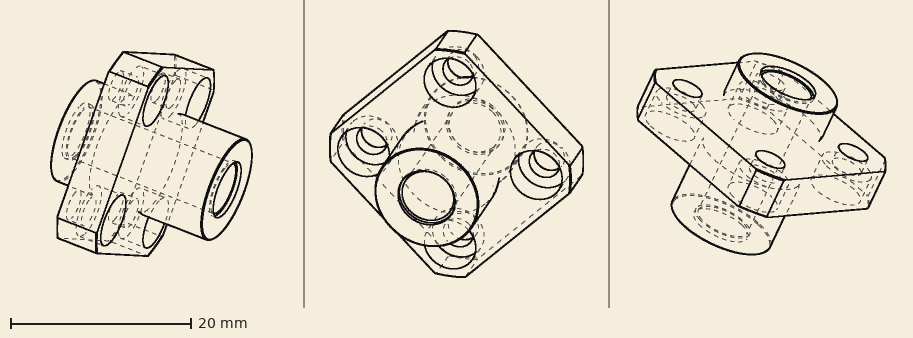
import cadquery as cq
import math

overall_length = 19.0
hub_radius = 12.0 / 2
hub_end_chamfer = 0.1
bore_radius = 6.0 / 2
recess_radius = 6.6 / 2
recess_depth = 0.5

flange_thickness = 5.0
flange_offset = 5.0
disc_radius = 14.0
disc_chamfer = 0.1
square_side = 22.0
bolt_hole_diameter = 3.5
bolt_circle_radius = 10.0
counterbore_diameter = 6.0
counterbore_depth = 3.1

relief_depth = 0.1
relief_radius = 0.5
relief_angle = math.radians(15)

left_end = -overall_length / 2
right_end = left_end + overall_length
flange_left = left_end + flange_offset
flange_right = flange_left + flange_thickness


def make_flange():
    """Square flange with turned, chamfered corners and four bolt holes counterbored from +X."""
    plane = cq.Workplane("YZ", origin=(flange_left, 0, 0))
    disc = plane.circle(disc_radius).extrude(flange_thickness).edges().chamfer(disc_chamfer)
    square = plane.rect(square_side, square_side).extrude(flange_thickness)
    square = square.rotate((0, 0, 0), (1, 0, 0), 45)
    return (
        disc.intersect(square)
        .faces(">X")
        .workplane(origin=(0, 0, 0))
        .polarArray(bolt_circle_radius, 0, 360, 4)
        .cboreHole(bolt_hole_diameter, counterbore_diameter, counterbore_depth)
    )


def make_hub(flange_face, hub_end):
    """Revolved hub from a flange face to a hub end, with its root relief."""
    outward = math.copysign(1, hub_end - flange_face)
    round_center_radius = hub_radius - relief_depth + relief_radius

    def round_point(angle):
        """Point on the root round; zero is its lowest point, positive is outward."""
        axial = relief_radius * (1 + math.sin(angle))
        radial = round_center_radius - relief_radius * math.cos(angle)
        return (flange_face + outward * axial, radial)

    taper_start = round_point(relief_angle)
    taper_length = (hub_radius - taper_start[1]) / math.tan(relief_angle)
    taper_end = (taper_start[0] + outward * taper_length, hub_radius)
    round_middle_angle = (relief_angle - math.pi / 2) / 2

    return (
        cq.Workplane("XY")
        .moveTo(flange_face, 0)
        .lineTo(flange_face, round_center_radius)
        .threePointArc(round_point(round_middle_angle), taper_start)
        .lineTo(*taper_end)
        .lineTo(hub_end - outward * hub_end_chamfer, hub_radius)
        .lineTo(hub_end, hub_radius - hub_end_chamfer)
        .lineTo(hub_end, 0)
        .close()
        .revolve(360, (0, 0, 0), (1, 0, 0))
    )


def make_bore():
    """Through bore with a shallow flat recess at both ends."""
    profile = [
        (left_end, 0),
        (left_end, recess_radius),
        (left_end + recess_depth, recess_radius),
        (left_end + recess_depth, bore_radius),
        (right_end - recess_depth, bore_radius),
        (right_end - recess_depth, recess_radius),
        (right_end, recess_radius),
        (right_end, 0),
    ]
    return cq.Workplane("XY").polyline(profile).close().revolve(360, (0, 0, 0), (1, 0, 0))


flange = make_flange()
left_hub = make_hub(flange_left, left_end)
right_hub = make_hub(flange_right, right_end)
result = flange.union(left_hub).union(right_hub).cut(make_bore())